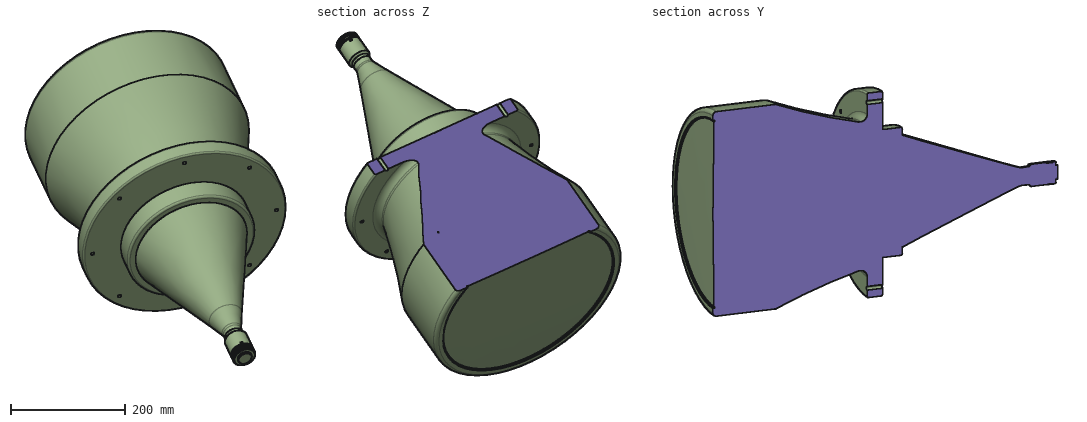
import cadquery as cq
import math


drum_radius = 188.0
drum_length = 119.5
drum_edge_fillet = 7.0
window_seat_radius = 172.0
window_radius = 170.0
window_groove_depth = 3.0
window_edge_depth = 2.0
window_rise = 2.0

taper_end = 277.0
taper_sag = 3.0
throat_radius = 137.0
throat_fillet = 12.0

flange_front = 293.0
flange_thickness = 30.0
flange_back = flange_front + flange_thickness
flange_radius = drum_radius
flange_edge_fillet = 3.0
bolt_count = 8
bolt_circle_radius = 170.0
bolt_hole_diameter = 6.0

hub_end = 360.5
hub_radius = 117.8
hub_edge_fillet = 4.0

cone_start_radius = 103.0
cone_end = 547.0
cone_end_radius = 30.5
nose_end = 581.0
nose_end_radius = 18.0

neck_start = 585.0
neck_radius = 16.8
neck_band_start = 594.5
neck_band_radius = 17.1
neck_band_end = 600.5

connector_start = 604.5
connector_radius = 20.8
connector_end = 652.0
connector_edge_chamfer = 2.0
tip_end = 655.36
tip_radius = 13.0
tip_chamfer = 1.0

groove_depth = 0.5
wide_groove_start = 638.5
wide_groove_width = 2.5
narrow_groove_start = 645.0
narrow_groove_width = 1.5

slot_count = 3
slot_depth = 1.5
notch_start = 634.0
notch_end = 646.0
notch_width = 4.0
arm_start = 641.0
arm_angle = 25.0


def taper_middle():
    """Point of the taper arc farthest from its chord, as (x, radius)."""
    length = taper_end - drum_length
    drop = drum_radius - throat_radius
    chord = math.hypot(length, drop)
    x = (drum_length + taper_end) / 2 - taper_sag * drop / chord
    radius = (drum_radius + throat_radius) / 2 - taper_sag * length / chord
    return (x, radius)


def window_middle():
    """Point halfway up the window dome, as (x, radius)."""
    radius = window_radius / 2
    sphere_radius = (window_radius**2 + window_rise**2) / (2 * window_rise)
    fall = sphere_radius - math.sqrt(sphere_radius**2 - radius**2)
    return (window_edge_depth - window_rise + fall, radius)


def rounded_corner(profile, corner, step_in, step_out):
    """Run the profile to a corner and turn it there with a quarter round.

    The steps are (x, radius) offsets: step_in from the start of the arc to the sharp
    corner, step_out from the sharp corner to the end of the arc.
    """
    start = (corner[0] - step_in[0], corner[1] - step_in[1])
    end = (corner[0] + step_out[0], corner[1] + step_out[1])
    inset = 1 - math.sqrt(0.5)
    middle = (
        corner[0] + (step_out[0] - step_in[0]) * inset,
        corner[1] + (step_out[1] - step_in[1]) * inset,
    )
    return profile.lineTo(*start).threePointArc(middle, end)


def turned_body():
    """Solid of revolution about X, from the domed window to the connector tip."""
    profile = cq.Workplane("XY").moveTo(window_edge_depth - window_rise, 0)

    profile = profile.threePointArc(window_middle(), (window_edge_depth, window_radius))
    profile = profile.lineTo(window_groove_depth, window_radius)
    profile = profile.lineTo(window_groove_depth, window_seat_radius)
    profile = profile.lineTo(0, window_seat_radius)
    fillet = drum_edge_fillet
    profile = rounded_corner(profile, (0, drum_radius), (0, fillet), (fillet, 0))
    profile = profile.lineTo(drum_length, drum_radius)

    profile = profile.threePointArc(taper_middle(), (taper_end, throat_radius))
    fillet = throat_fillet
    profile = rounded_corner(profile, (flange_front, throat_radius), (fillet, 0), (0, fillet))

    fillet = flange_edge_fillet
    profile = rounded_corner(profile, (flange_front, flange_radius), (0, fillet), (fillet, 0))
    profile = rounded_corner(profile, (flange_back, flange_radius), (fillet, 0), (0, -fillet))

    fillet = hub_edge_fillet
    profile = profile.lineTo(flange_back, hub_radius)
    profile = rounded_corner(profile, (hub_end, hub_radius), (fillet, 0), (0, -fillet))

    profile = profile.lineTo(hub_end, cone_start_radius)
    profile = profile.lineTo(cone_end, cone_end_radius)
    profile = profile.lineTo(nose_end, nose_end_radius)
    profile = profile.lineTo(neck_start, neck_radius)
    profile = profile.lineTo(neck_band_start, neck_radius)
    profile = profile.lineTo(neck_band_start, neck_band_radius)
    profile = profile.lineTo(neck_band_end, neck_band_radius)

    profile = profile.lineTo(connector_start, connector_radius)
    profile = profile.lineTo(connector_end - connector_edge_chamfer, connector_radius)
    profile = profile.lineTo(connector_end, connector_radius - connector_edge_chamfer)
    profile = profile.lineTo(connector_end, tip_radius)
    profile = profile.lineTo(tip_end - tip_chamfer, tip_radius)
    profile = profile.lineTo(tip_end, tip_radius - tip_chamfer)
    profile = profile.lineTo(tip_end, 0)
    return profile.close().revolve(360, (0, 0, 0), (1, 0, 0))


def bolt_holes():
    """Through holes evenly spaced on the flange bolt circle."""
    return (
        cq.Workplane("YZ", origin=(flange_front, 0, 0))
        .polarArray(bolt_circle_radius, 0, 360, bolt_count)
        .circle(bolt_hole_diameter / 2)
        .extrude(flange_thickness)
    )


def ring_groove(start, width):
    """Cutter for a shallow groove around the connector."""
    return (
        cq.Workplane("YZ", origin=(start, 0, 0))
        .circle(connector_radius + groove_depth)
        .circle(connector_radius - groove_depth)
        .extrude(width)
    )


def bayonet_slot():
    """Cutter for the slot on top of the connector, its arm running toward +Y."""
    notch = (
        cq.Workplane("XY", origin=(0, 0, connector_radius - slot_depth))
        .moveTo((notch_start + notch_end) / 2, 0)
        .rect(notch_end - notch_start, notch_width)
        .extrude(2 * slot_depth)
    )
    arm = (
        cq.Workplane("XZ")
        .moveTo((arm_start + notch_end) / 2, connector_radius)
        .rect(notch_end - arm_start, 2 * slot_depth)
        .revolve(arm_angle, (0, 0, 0), (-1, 0, 0))
    )
    return notch.union(arm)


result = turned_body().cut(bolt_holes())
result = result.cut(ring_groove(wide_groove_start, wide_groove_width))
result = result.cut(ring_groove(narrow_groove_start, narrow_groove_width))
for index in range(slot_count):
    slot = bayonet_slot().rotate((0, 0, 0), (1, 0, 0), index * 360 / slot_count)
    result = result.cut(slot)